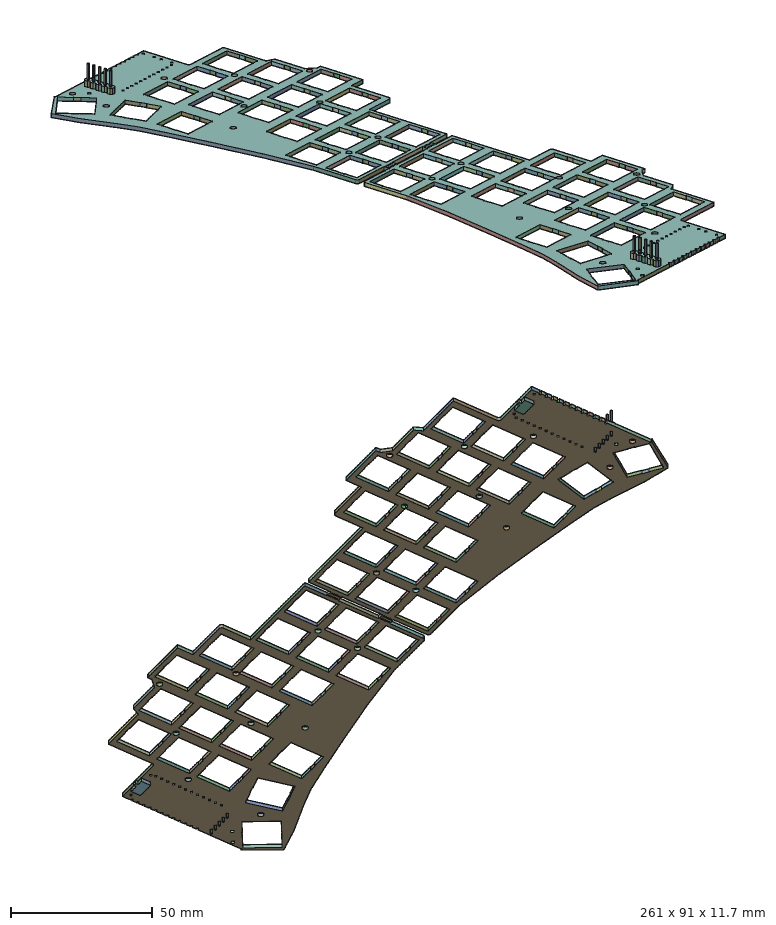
import cadquery as cq
PLATE_LENGTH = 261.0
PLATE_THICK = 1.5
HALF_LENGTH = PLATE_LENGTH / 2
SEAM_GAP = 2.3
INNER_EDGE = SEAM_GAP / 2

KEY_SIZE = 13.8
KEY_NOTCH_WIDTH = 2.5
KEY_NOTCH_DEPTH = 0.15
COLUMN_PITCH = 18.0
ROW_PITCH = 17.0
ROWS = (-1, 0, 1)
SEAM_RIM = 1.7
FIRST_COLUMN_X = INNER_EDGE + SEAM_RIM + KEY_SIZE / 2
COLUMN_MIDDLE_Y = (0.8, 0.8, 12.8, 19.5, 14.4, 11.7)
THUMB_KEYS = ((80.2, -22.7, 0), (100.3, -25.0, 15), (119.5, -34.5, 35))

TOP_INNER = 26.5
TOP_FOURTH = 39.0
TOP_THIRD = 45.5
TOP_SECOND = 40.5
TOP_FIRST = 37.3
TOP_CONTROLLER = 17.8
BOTTOM_INNER = -24.8
STEP_FOURTH_X = 35.8
STEP_THIRD_X = 53.5
STEP_SECOND_X = 72.5
STEP_FIRST_X = 89.0
STEP_CONTROLLER_X = 109.7
SHOULDER_SLOPE = 3.1
SECOND_STEP_SLOPE = 1.5
OUTER_EDGE = HALF_LENGTH - 0.5
ELBOW_Y = -33.0
TIP_X = 122.2
TIP_Y = -45.5
BOTTOM_FLAT_X = 21.0
CORNER_RADIUS = 1.0
ROUNDED_CORNERS = (
    (INNER_EDGE, BOTTOM_INNER),
    (STEP_FOURTH_X, TOP_FOURTH),
    (STEP_CONTROLLER_X, TOP_CONTROLLER),
)
LOWER_EDGE = ((105.7, -40.7), (91.0, -35.8), (74.5, -32.6), (52.2, -28.7), (35.2, -26.5))

SCREW_DIA = 2.2
SCREW_POINTS = (
    (18.5, 9.1),
    (18.5, -7.5),
    (53.5, 20.5),
    (64.0, -15.7),
    (72.5, 1.5),
    (73.0, 40.0),
    (91.6, 20.5),
    (109.7, 3.5),
    (111.0, -28.2),
)
PIN_PITCH = 2.53
CONTROLLER_HOLE_DIA = 0.8
CONTROLLER_PINS = 12
CONTROLLER_ROW_SPACING = 6 * PIN_PITCH
CONTROLLER_X = 122.2
CONTROLLER_Y = 0.0

TAB_HEIGHT = 4.7
TAB_MIDDLE_Y = (14.5, -7.3)
BITE_DIA = 0.5
BITE_PITCH = 0.8
BITES = 5
BITE_ROW_SPACING = 1.5

HEADER_PINS = 5
HEADER_WIDTH = 2.5
HEADER_HEIGHT = 2.3
HEADER_CHAMFER = 0.65
PIN_SIZE = 0.65
PIN_HOLE_DIA = 1.0
PIN_LENGTH = 11.7
PIN_BELOW = 1.5
HEADER_Y = -18.3

SWITCH_LENGTH = 6.5
SWITCH_DEPTH = 4.0
SWITCH_HEIGHT = PIN_BELOW
SWITCH_Y = 15.7
KNOB_WIDTH = 1.3
KNOB_REACH = 1.0
KNOB_OFFSET = -0.5
SWITCH_POST_DIA = 0.9
SWITCH_POST_SPACING = 3.1
BATTERY_HOLE_DIA = 0.8
BATTERY_HOLE_SPACING = 5 * PIN_PITCH

SWITCH_X = (-122.2, 121.5)
HEADER_X = (-121.7, 122.5)
CABLE_HOLE_DIA = 1.3
CABLE_HOLES = ((-122.5, -23.2), (124.0, -24.8), (128.7, -28.2))
LEFT_CORNER_SCREW = (-127.0, -27.2)


def drill(points, diameter):
    """Round cutters through the plate at the given points."""
    return cq.Workplane("XY").pushPoints(points).circle(diameter / 2).extrude(PLATE_THICK)


def half_blank():
    """Solid right half of the plate: stepped top, curved bottom."""
    blank = (
        cq.Workplane("XY")
        .moveTo(INNER_EDGE, BOTTOM_INNER)
        .lineTo(INNER_EDGE, TOP_INNER)
        .lineTo(STEP_FOURTH_X, TOP_INNER)
        .lineTo(STEP_FOURTH_X, TOP_FOURTH)
        .lineTo(STEP_THIRD_X, TOP_FOURTH)
        .lineTo(STEP_THIRD_X, TOP_THIRD)
        .lineTo(STEP_SECOND_X, TOP_THIRD)
        .lineTo(STEP_SECOND_X, TOP_SECOND + SHOULDER_SLOPE)
        .lineTo(STEP_SECOND_X + SHOULDER_SLOPE, TOP_SECOND)
        .lineTo(STEP_FIRST_X, TOP_SECOND)
        .lineTo(STEP_FIRST_X + SECOND_STEP_SLOPE, TOP_FIRST)
        .lineTo(STEP_CONTROLLER_X, TOP_FIRST)
        .lineTo(STEP_CONTROLLER_X, TOP_CONTROLLER)
        .lineTo(OUTER_EDGE, TOP_CONTROLLER)
        .lineTo(OUTER_EDGE, ELBOW_Y)
        .lineTo(HALF_LENGTH, ELBOW_Y)
        .lineTo(TIP_X, TIP_Y)
        .spline([*LOWER_EDGE, (BOTTOM_FLAT_X, BOTTOM_INNER)], includeCurrent=True)
        .close()
        .extrude(PLATE_THICK)
    )
    for corner in ROUNDED_CORNERS:
        nearest = cq.selectors.NearestToPointSelector((*corner, PLATE_THICK / 2))
        blank = blank.edges(nearest).fillet(CORNER_RADIUS)
    return blank


def key_cutter(x, y, tilt):
    """Square cutter with a shallow notch in the middle of its top and bottom sides."""
    square = cq.Workplane("XY").rect(KEY_SIZE, KEY_SIZE).extrude(PLATE_THICK)
    notch_span = KEY_SIZE + 2 * KEY_NOTCH_DEPTH
    notches = cq.Workplane("XY").rect(KEY_NOTCH_WIDTH, notch_span).extrude(PLATE_THICK)
    cutter = square.union(notches)
    return cutter.rotate((0, 0, 0), (0, 0, 1), tilt).translate((x, y, 0))


def key_openings():
    """Cutters for all the keys of the right half."""
    cutters = cq.Workplane("XY")
    for column, middle_y in enumerate(COLUMN_MIDDLE_Y):
        for row in ROWS:
            x = FIRST_COLUMN_X + column * COLUMN_PITCH
            y = middle_y + row * ROW_PITCH
            cutters = cutters.add(key_cutter(x, y, 0))
    for x, y, tilt in THUMB_KEYS:
        cutters = cutters.add(key_cutter(x, y, -tilt))
    return cutters.combine()


def controller_holes():
    """Two rows of holes for the controller board."""
    return (
        cq.Workplane("XY")
        .center(CONTROLLER_X, CONTROLLER_Y)
        .rarray(CONTROLLER_ROW_SPACING, PIN_PITCH, 2, CONTROLLER_PINS)
        .circle(CONTROLLER_HOLE_DIA / 2)
        .extrude(PLATE_THICK)
    )


def make_half():
    """Right half of the plate with the openings that both halves share."""
    half = half_blank().cut(key_openings())
    half = half.cut(drill(SCREW_POINTS, SCREW_DIA))
    return half.cut(controller_holes())


def breakaway_tab(middle_y):
    """Bridge over the seam between the halves."""
    return cq.Workplane("XY").center(0, middle_y).rect(SEAM_GAP, TAB_HEIGHT).extrude(PLATE_THICK)


def tab_bites(middle_y):
    """Two rows of small holes that perforate a tab."""
    return (
        cq.Workplane("XY")
        .center(0, middle_y)
        .rarray(BITE_ROW_SPACING, BITE_PITCH, 2, BITES)
        .circle(BITE_DIA / 2)
        .extrude(PLATE_THICK)
    )


def header_pin_points(x):
    """Pin positions of the header centred at x."""
    first = x - (HEADER_PINS - 1) / 2 * PIN_PITCH
    return [(first + i * PIN_PITCH, HEADER_Y) for i in range(HEADER_PINS)]


def pair_about(x, y, spacing):
    """Two points side by side, centred at x."""
    return [(x - spacing / 2, y), (x + spacing / 2, y)]


def make_plate():
    """Both halves, joined by the tabs and drilled for the headers and switches."""
    right = make_half()
    plate = right.union(right.mirror("YZ"))
    for middle_y in TAB_MIDDLE_Y:
        plate = plate.union(breakaway_tab(middle_y)).cut(tab_bites(middle_y))
    for x in HEADER_X:
        plate = plate.cut(drill(header_pin_points(x), PIN_HOLE_DIA))
    for x in SWITCH_X:
        posts = pair_about(x, SWITCH_Y, SWITCH_POST_SPACING)
        battery_holes = pair_about(x, SWITCH_Y, BATTERY_HOLE_SPACING)
        plate = plate.cut(drill(posts, SWITCH_POST_DIA))
        plate = plate.cut(drill(battery_holes, BATTERY_HOLE_DIA))
    plate = plate.cut(drill([LEFT_CORNER_SCREW], SCREW_DIA))
    return plate.cut(drill(CABLE_HOLES, CABLE_HOLE_DIA))


def make_header(x):
    """Chain of chamfered blocks on the plate, with a square pin through each."""
    block = (
        cq.Workplane("XY")
        .rect(PIN_PITCH, HEADER_WIDTH)
        .extrude(HEADER_HEIGHT)
        .edges("|Z")
        .chamfer(HEADER_CHAMFER)
        .translate((0, 0, PLATE_THICK))
    )
    pin = cq.Workplane("XY").rect(PIN_SIZE, PIN_SIZE).extrude(PIN_LENGTH).translate((0, 0, -PIN_BELOW))
    segment = block.union(pin)
    header = cq.Workplane("XY")
    for pin_x, pin_y in header_pin_points(x):
        header = header.union(segment.translate((pin_x, pin_y, 0)))
    return header


def make_switch(x):
    """Slide switch under the plate, its knob reaching past the plate's edge."""
    body = cq.Workplane("XY").rect(SWITCH_LENGTH, SWITCH_DEPTH).extrude(-SWITCH_HEIGHT)
    knob = (
        cq.Workplane("XY")
        .center(KNOB_OFFSET, (SWITCH_DEPTH + KNOB_REACH) / 2)
        .rect(KNOB_WIDTH, KNOB_REACH)
        .extrude(-SWITCH_HEIGHT)
    )
    return body.union(knob).translate((x, SWITCH_Y, 0))


plate = make_plate()
headers = [make_header(x).val() for x in HEADER_X]
switches = [make_switch(x).val() for x in SWITCH_X]

result = cq.Compound.makeCompound([plate.val(), *headers, *switches])